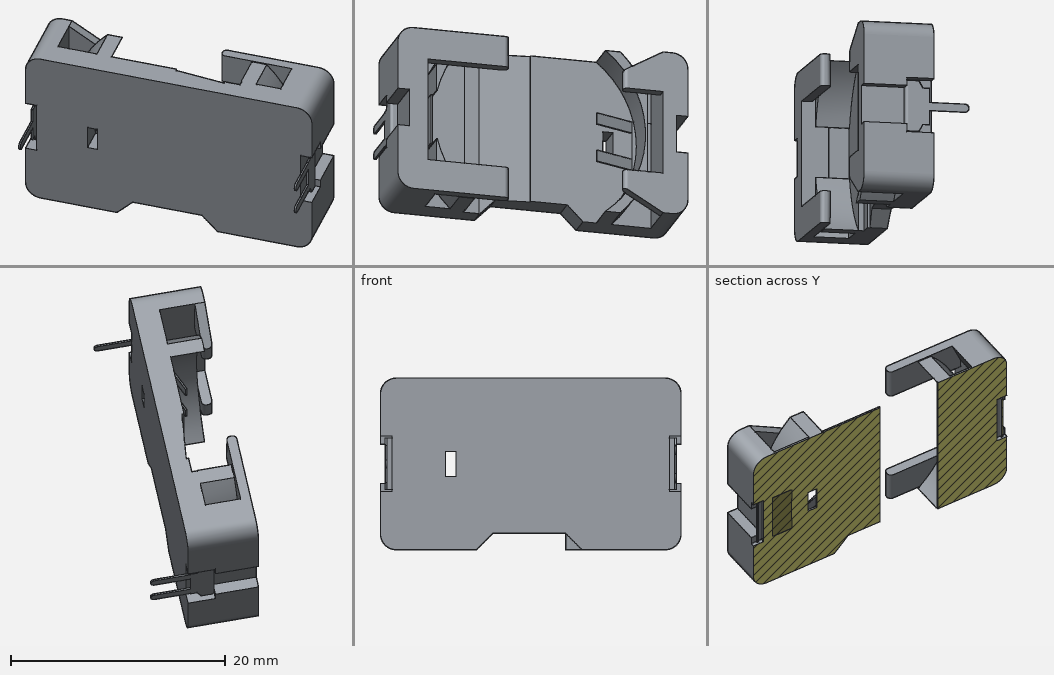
import cadquery as cq
import math

LENGTH = 28.0
HEIGHT = 16.0
DEPTH = 6.7
CORNER_RADIUS = 1.5
HALF_LENGTH = LENGTH / 2
HALF_HEIGHT = HEIGHT / 2
FLOOR_Y = 2.4

RING_INNER_RADIUS = 10.2
RING_OUTER_RADIUS = 11.16
RING_TOP_Y = 5.63
RING_LEFT_X = -10.4
RING_RIGHT_X = 9.98
RING_OPENING = 4.8

LEFT_WALL_X = -11.6
RIGHT_WALL_TOP_X = 10.18
RIGHT_WALL_X = 11.1
RIGHT_WALL_SLOPE_END_Z = 5.8

ARM_THICKNESS = 1.0
ARM_END_RADIUS = 0.42
ARM_OUTER_THICKNESS = 0.95
LEFT_ARM_TIP_X = -7.85
LEFT_ARM_SLOPE = 30.0
LEFT_ARM_INNER_Z = 4.05
RIGHT_ARM_TIP_X = 3.25
RIGHT_ARM_INNER_Z = 5.0

RAMP_START_X = 0.0
RAMP_START_Y = 2.2
RAMP_END_X = 4.86
RAMP_END_Y = 1.66
STEP_END_X = 6.37
STEP_Y = 1.88

NOTCH_DEPTH = 1.53
NOTCH_LEFT_X = -3.52
NOTCH_RIGHT_X = 3.25

WINDOW_X = -7.45
WINDOW_WIDTH = 0.95
WINDOW_HEIGHT = 2.3

RECESS_DEPTH = 1.1
RECESS_HEIGHT = 5.15
RECESS_TOP_Y = 2.6
GROOVE_HEIGHT = 3.63

SHEET = 0.17
BEND_INNER_RADIUS = 0.1
BEND_OUTER_RADIUS = BEND_INNER_RADIUS + SHEET
PLATE_HEIGHT = RING_OPENING
PLATE_SETBACK = 0.44
PLATE_OUTER_X = HALF_LENGTH - PLATE_SETBACK
PLATE_INNER_X = PLATE_OUTER_X - SHEET
LEAF_TOP_Y = RECESS_TOP_Y
LEAF_BOTTOM_Y = LEAF_TOP_Y - SHEET
PLATE_SHOULDER_Y = 1.33
PLATE_TAPER_END_Y = 0.95
PLATE_FOOT_Y = 0.34
PLATE_FOOT_HEIGHT = 3.45
PIN_TIP_Y = -3.45
PIN_WIDTH = 0.77
PIN_TIP_RADIUS = 0.38
PIN_SPACING = 2.54
SIDE_SPRING_X = 10.1
SIDE_SPRING_TOP_Y = 4.36
JOG_START_X = -12.6
JOG_END_X = -11.8
FINGER_START_X = -9.8
FINGER_TIP_X = -6.0
FINGER_TIP_Y = 3.9
FINGER_GAP = 2.6


def box(x_min, x_max, y_min, y_max, z_min, z_max):
    size = (x_max - x_min, y_max - y_min, z_max - z_min)
    return cq.Workplane("XY").box(*size, centered=False).translate((x_min, y_min, z_min))


def prism_along_y(points, y_min, y_max):
    """Extrude an (x, z) outline from y_min to y_max."""
    return cq.Workplane("XZ", origin=(0, y_min, 0)).polyline(points).close().extrude(y_min - y_max)


def prism_along_z(points, height):
    """Extrude an (x, y) outline symmetrically about mid-height."""
    return cq.Workplane("XY").polyline(points).close().extrude(height / 2, both=True)


def with_lower_copy(upper):
    return upper.union(upper.mirror("XY"))


def make_block():
    block = box(-HALF_LENGTH, HALF_LENGTH, 0, DEPTH, -HALF_HEIGHT, HALF_HEIGHT)
    return block.edges("|Y").fillet(CORNER_RADIUS)


def make_well():
    """Space between the end walls; the right wall leans inward near the upper and lower faces."""
    upper_right = [
        (RIGHT_WALL_X, RIGHT_WALL_SLOPE_END_Z),
        (RIGHT_WALL_TOP_X, HALF_HEIGHT),
    ]
    lower_right = [(x, -z) for x, z in reversed(upper_right)]
    left = [(LEFT_WALL_X, HALF_HEIGHT), (LEFT_WALL_X, -HALF_HEIGHT)]
    return prism_along_y(left + lower_right + upper_right, FLOOR_Y, DEPTH)


def make_ring():
    """Ring around the cell, open on the right where the side contact reaches the cell."""
    ring = (
        cq.Workplane("XZ", origin=(0, FLOOR_Y, 0))
        .circle(RING_OUTER_RADIUS)
        .circle(RING_INNER_RADIUS)
        .extrude(FLOOR_Y - RING_TOP_Y)
    )
    zone = box(RING_LEFT_X, RING_RIGHT_X, FLOOR_Y, DEPTH, -HALF_HEIGHT, HALF_HEIGHT)
    opening = box(0, HALF_LENGTH, FLOOR_Y, DEPTH, -RING_OPENING / 2, RING_OPENING / 2)
    return ring.intersect(zone).cut(opening)


def make_arm_bar(x_min, x_max, inner_z):
    """Bar along x that thins toward the upper face, from ARM_THICKNESS to ARM_OUTER_THICKNESS."""
    outline = [
        (DEPTH, HALF_HEIGHT),
        (DEPTH - ARM_OUTER_THICKNESS, HALF_HEIGHT),
        (DEPTH - ARM_THICKNESS, inner_z),
        (DEPTH, inner_z),
    ]
    return cq.Workplane("YZ", origin=(x_min, 0, 0)).polyline(outline).close().extrude(x_max - x_min)


def make_left_arms():
    """Arms that slope away from the upper and lower faces toward their tips."""
    bar = make_arm_bar(LEFT_WALL_X, LEFT_ARM_TIP_X, LEFT_ARM_INNER_Z)
    drop = (LEFT_ARM_TIP_X - LEFT_WALL_X) * math.tan(math.radians(LEFT_ARM_SLOPE))
    wedge = [
        (LEFT_WALL_X, HALF_HEIGHT),
        (LEFT_ARM_TIP_X, HALF_HEIGHT),
        (LEFT_ARM_TIP_X, HALF_HEIGHT - drop),
    ]
    rounded_bar = bar.faces(">X").edges("not |Y").fillet(ARM_END_RADIUS)
    return with_lower_copy(rounded_bar.cut(prism_along_y(wedge, 0, DEPTH)))


def make_right_arms():
    bar = make_arm_bar(RIGHT_ARM_TIP_X, RIGHT_WALL_X, RIGHT_ARM_INNER_Z)
    return with_lower_copy(bar.faces("<X").edges("not |Y").fillet(ARM_END_RADIUS))


def make_floor_ramp():
    outline = [
        (RAMP_START_X, FLOOR_Y),
        (RAMP_START_X, RAMP_START_Y),
        (RAMP_END_X, RAMP_END_Y),
        (RAMP_END_X, STEP_Y),
        (STEP_END_X, STEP_Y),
        (STEP_END_X, FLOOR_Y),
    ]
    return prism_along_z(outline, HEIGHT)


def make_notch():
    """Trapezoid with 45 degree flanks in the lower edge of the floor."""
    outline = [
        (NOTCH_LEFT_X - NOTCH_DEPTH, -HALF_HEIGHT),
        (NOTCH_LEFT_X, NOTCH_DEPTH - HALF_HEIGHT),
        (NOTCH_RIGHT_X, NOTCH_DEPTH - HALF_HEIGHT),
        (NOTCH_RIGHT_X + NOTCH_DEPTH, -HALF_HEIGHT),
    ]
    return prism_along_y(outline, 0, FLOOR_Y)


def make_window():
    window = cq.Workplane("XY").box(WINDOW_WIDTH, FLOOR_Y, WINDOW_HEIGHT)
    return window.translate((WINDOW_X, FLOOR_Y / 2, 0))


def make_right_end_cut():
    """Recess for the plate of the contact, and the narrower groove that runs on to the back."""
    half_recess = RECESS_HEIGHT / 2
    half_groove = GROOVE_HEIGHT / 2
    recess = box(HALF_LENGTH - RECESS_DEPTH, HALF_LENGTH, 0, RECESS_TOP_Y, -half_recess, half_recess)
    groove = box(HALF_LENGTH - RECESS_DEPTH, HALF_LENGTH, 0, DEPTH, -half_groove, half_groove)
    return recess.union(groove)


def make_housing():
    housing = make_block().cut(make_well())
    for addition in (make_ring(), make_left_arms(), make_right_arms()):
        housing = housing.union(addition)
    right_end_cut = make_right_end_cut()
    cuts = (
        make_floor_ramp(),
        make_notch(),
        make_window(),
        right_end_cut,
        right_end_cut.mirror("YZ"),
    )
    for cut in cuts:
        housing = housing.cut(cut)
    return housing


def make_plate(leaf_end_x, pin_positions):
    """Right-hand plate bent into a leaf that runs inward to leaf_end_x, with pins at the given z positions."""
    bend_center = (PLATE_INNER_X - BEND_INNER_RADIUS, LEAF_BOTTOM_Y - BEND_INNER_RADIUS)
    diagonal = math.sqrt(0.5)

    def on_bend(radius):
        return (bend_center[0] + radius * diagonal, bend_center[1] + radius * diagonal)

    sheet = (
        cq.Workplane("XY")
        .moveTo(leaf_end_x, LEAF_TOP_Y)
        .lineTo(bend_center[0], LEAF_TOP_Y)
        .threePointArc(on_bend(BEND_OUTER_RADIUS), (PLATE_OUTER_X, bend_center[1]))
        .lineTo(PLATE_OUTER_X, PIN_TIP_Y)
        .lineTo(PLATE_INNER_X, PIN_TIP_Y)
        .lineTo(PLATE_INNER_X, bend_center[1])
        .threePointArc(on_bend(BEND_INNER_RADIUS), (bend_center[0], LEAF_BOTTOM_Y))
        .lineTo(leaf_end_x, LEAF_BOTTOM_Y)
        .close()
        .extrude(PLATE_HEIGHT / 2, both=True)
    )
    half_plate = PLATE_HEIGHT / 2
    half_foot = PLATE_FOOT_HEIGHT / 2
    upper_edge = [
        (LEAF_TOP_Y, half_plate),
        (PLATE_SHOULDER_Y, half_plate),
        (PLATE_TAPER_END_Y, half_foot),
        (PLATE_FOOT_Y, half_foot),
    ]
    lower_edge = [(y, -z) for y, z in reversed(upper_edge)]
    blank = cq.Workplane("YZ").polyline(upper_edge + lower_edge).close().extrude(HALF_LENGTH)
    for z in pin_positions:
        pin = box(0, HALF_LENGTH, PIN_TIP_Y, PLATE_FOOT_Y, z - PIN_WIDTH / 2, z + PIN_WIDTH / 2)
        blank = blank.union(pin.edges("|X and <Y").fillet(PIN_TIP_RADIUS))
    return sheet.intersect(blank)


def make_side_contact():
    """Right contact: its leaf turns up into a spring blade beside the rim of the cell."""
    half_plate = PLATE_HEIGHT / 2
    blade_x = SIDE_SPRING_X - SHEET / 2
    blade = box(blade_x, blade_x + SHEET, LEAF_BOTTOM_Y, SIDE_SPRING_TOP_Y, -half_plate, half_plate)
    pins = (-PIN_SPACING / 2, PIN_SPACING / 2)
    return make_plate(blade_x, pins).union(blade)


def make_base_contact():
    """Left contact: its leaf steps down to floor level, then two spring fingers rise under the cell."""
    leaf = make_plate(-JOG_START_X, (0,)).mirror("YZ")
    path = [
        (JOG_START_X, LEAF_TOP_Y),
        (JOG_END_X, FLOOR_Y),
        (FINGER_START_X, FLOOR_Y),
        (FINGER_TIP_X, FINGER_TIP_Y),
    ]
    underside = [(x, y - SHEET) for x, y in reversed(path)]
    strip = prism_along_z(path + underside, PLATE_HEIGHT)
    gap = box(FINGER_START_X, FINGER_TIP_X, 0, DEPTH, -FINGER_GAP / 2, FINGER_GAP / 2)
    return leaf.union(strip.cut(gap))


side_contact = make_side_contact()
base_contact = make_base_contact()
housing = make_housing().cut(side_contact).cut(base_contact)

result = cq.Compound.makeCompound([body.solids().val() for body in (housing, side_contact, base_contact)])